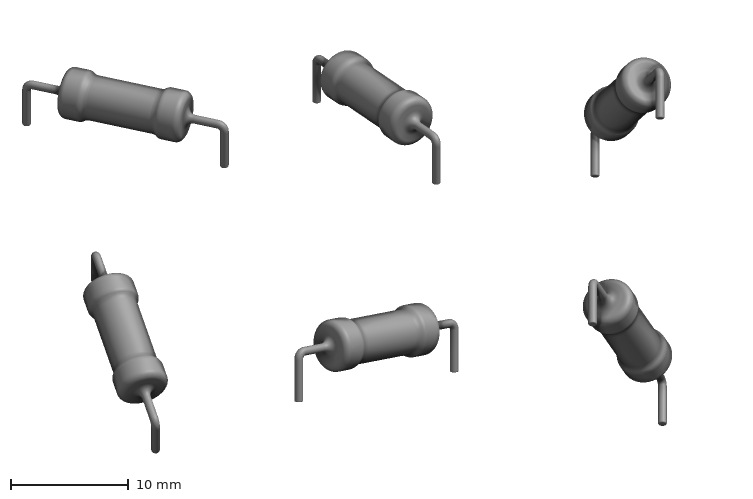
import cadquery as cq
import math


overall_length = 18.53
overall_height = 6.52
cap_diameter = 4.5

body_length = 11.0
barrel_diameter = 3.91
cap_edge_radius = 0.6
cap_straight_length = 1.2
shoulder_round_radius = 0.6
shoulder_length = 0.83

lead_diameter = 0.75
bend_radius = 0.6
meniscus_radius = 0.72
tip_round_radius = 0.1

cap_radius = cap_diameter / 2
barrel_radius = barrel_diameter / 2
lead_radius = lead_diameter / 2
half_body = body_length / 2
lead_x = overall_length / 2 - lead_radius
lead_bottom = cap_radius - overall_height
cap_end = half_body - cap_edge_radius - cap_straight_length
barrel_end = cap_end - shoulder_length

diagonal = math.sqrt(0.5)


def shoulder_points():
    """Points (x, radius) along the S-shaped right-hand shoulder, named in order from cap to barrel.

    The convex and concave arcs are tangent to each other and to the cylinders they join.
    """
    drop = cap_radius - barrel_radius
    radius_sum = (shoulder_length**2 + drop**2) / (2 * drop)
    turn = math.asin(shoulder_length / radius_sum)
    hollow_radius = radius_sum - shoulder_round_radius

    def on_round(angle):
        return (
            cap_end - shoulder_round_radius * math.sin(angle),
            cap_radius - shoulder_round_radius * (1 - math.cos(angle)),
        )

    def on_hollow(angle):
        return (
            barrel_end + hollow_radius * math.sin(angle),
            barrel_radius + hollow_radius * (1 - math.cos(angle)),
        )

    return {
        "start": on_round(0),
        "round_middle": on_round(turn / 2),
        "inflection": on_round(turn),
        "hollow_middle": on_hollow(turn / 2),
        "end": on_hollow(0),
    }


def barrel():
    """Plain cylinder between the two shoulders."""
    left_face = cq.Workplane("YZ", origin=(-barrel_end, 0, 0))
    return left_face.circle(barrel_radius).extrude(2 * barrel_end)


def right_cap():
    """Rounded cap with its shoulder and its flare onto the lead, revolved about X."""
    shoulder = shoulder_points()
    flare_x = half_body + meniscus_radius
    flare_radius = lead_radius + meniscus_radius
    flare_middle = (
        flare_x - meniscus_radius * diagonal,
        flare_radius - meniscus_radius * diagonal,
    )
    edge_x = half_body - cap_edge_radius
    edge_middle = (
        edge_x + cap_edge_radius * diagonal,
        cap_radius - cap_edge_radius * (1 - diagonal),
    )
    profile = (
        cq.Workplane("XZ")
        .moveTo(barrel_end, 0)
        .lineTo(flare_x, 0)
        .lineTo(flare_x, lead_radius)
        .threePointArc(flare_middle, (half_body, flare_radius))
        .lineTo(half_body, cap_radius - cap_edge_radius)
        .threePointArc(edge_middle, (edge_x, cap_radius))
        .lineTo(*shoulder["start"])
        .threePointArc(shoulder["round_middle"], shoulder["inflection"])
        .threePointArc(shoulder["hollow_middle"], shoulder["end"])
        .close()
    )
    return profile.revolve(360, (0, 0, 0), (1, 0, 0))


def right_lead():
    """Round wire running out of the right cap, bent down, with a rounded tip."""
    bend_middle = (
        lead_x - bend_radius * (1 - diagonal),
        -bend_radius * (1 - diagonal),
    )
    path = (
        cq.Workplane("XZ")
        .moveTo(half_body, 0)
        .lineTo(lead_x - bend_radius, 0)
        .threePointArc(bend_middle, (lead_x, -bend_radius))
        .lineTo(lead_x, lead_bottom)
    )
    wire = cq.Workplane("YZ", origin=(half_body, 0, 0)).circle(lead_radius).sweep(path)
    return wire.faces("<Z").edges().fillet(tip_round_radius)


right_end = right_cap().union(right_lead())
left_end = right_end.mirror("YZ")
result = barrel().union(right_end).union(left_end)